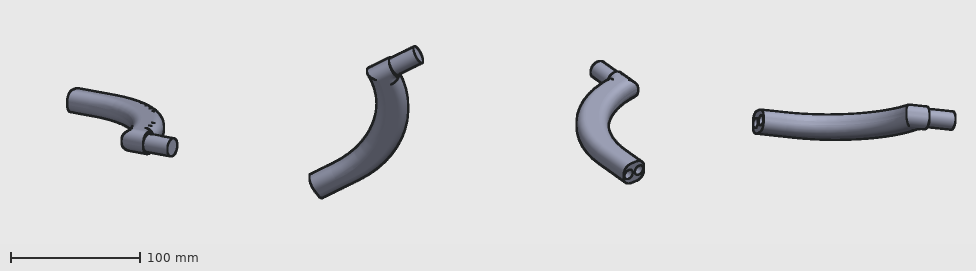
import cadquery as cq
import math

length = 133.8
depth = 84.0
height = 18.0

body_width = 20.1
edge_radius = 7.5
inner_bend_start = 20.0
outer_bend_start = 33.9
inner_corner_x = 91.7
inner_bend_radius = 70.4

foot_end_x = 111.6
foot_width = 15.1
spigot_diameter = 14.5
spigot_overlap = 1.3

outer_run = foot_end_x - outer_bend_start
outer_drop = depth - foot_width
outer_bend_radius = (outer_run**2 + outer_drop**2) / (2 * outer_drop)

bore_diameter = 8.0
bore_spacing = 10.0
bore_depth = inner_bend_start


def arc_midpoint(start, end, radius):
    """Point halfway along the arc from start to end, bulging towards +X and +Y."""
    run = end[0] - start[0]
    drop = start[1] - end[1]
    chord = math.hypot(run, drop)
    bulge = radius - math.sqrt(radius**2 - (chord / 2) ** 2)
    return (
        (start[0] + end[0]) / 2 + bulge * drop / chord,
        (start[1] + end[1]) / 2 + bulge * run / chord,
    )


def make_body():
    """Bent bar with rounded long edges, cut square at the end of the foot."""
    outer_start = (outer_bend_start, depth)
    outer_end = (foot_end_x, foot_width)
    inner_start = (inner_bend_start, depth - body_width)
    inner_end = (inner_corner_x, 0)
    outer_middle = arc_midpoint(outer_start, outer_end, outer_bend_radius)
    inner_middle = arc_midpoint(inner_start, inner_end, inner_bend_radius)
    body = (
        cq.Workplane("XY")
        .workplane(offset=-height / 2)
        .moveTo(0, depth)
        .lineTo(*outer_start)
        .threePointArc(outer_middle, outer_end)
        .lineTo(length, foot_width)
        .lineTo(length, 0)
        .lineTo(*inner_end)
        .threePointArc(inner_middle, inner_start)
        .lineTo(0, depth - body_width)
        .close()
        .extrude(height)
    )
    end_edges = body.faces("<X or >X").edges().vals()
    long_edges = [
        edge
        for edge in body.faces("|Z").edges().vals()
        if not any(edge.isSame(end_edge) for end_edge in end_edges)
    ]
    body = body.newObject(long_edges).fillet(edge_radius)
    keep = cq.Workplane("XY").box(foot_end_x, depth, height, centered=(False, False, True))
    return body.intersect(keep)


def make_corner_blend():
    """Block whose rounded edge sweeps a quarter turn about the bar-to-foot inside corner."""
    corner = (foot_end_x, foot_width, 0)
    top = height / 2
    side_top = top - edge_radius
    arc_middle = (
        -edge_radius * (1 - math.cos(math.pi / 4)),
        side_top + edge_radius * math.sin(math.pi / 4),
    )
    waste = (
        cq.Workplane("XZ", origin=corner)
        .moveTo(0, side_top)
        .threePointArc(arc_middle, (-edge_radius, top))
        .lineTo(0, top)
        .close()
        .revolve(360, (0, 0), (0, 1))
    )
    block = cq.Workplane("XY").box(edge_radius, edge_radius, height).translate(
        (foot_end_x - edge_radius / 2, foot_width - edge_radius / 2, 0)
    )
    return block.cut(waste).cut(waste.mirror("XY"))


def make_spigot():
    """Solid round spigot, starting inside the foot and flush with its -Y side."""
    start_x = foot_end_x - spigot_overlap
    return (
        cq.Workplane("YZ", origin=(start_x, spigot_diameter / 2, 0))
        .circle(spigot_diameter / 2)
        .extrude(length - start_x)
    )


def make_bores():
    """Two blind bores side by side, centred across the body."""
    return (
        cq.Workplane("YZ", origin=(0, depth - body_width / 2, 0))
        .pushPoints([(-bore_spacing / 2, 0), (bore_spacing / 2, 0)])
        .circle(bore_diameter / 2)
        .extrude(bore_depth)
    )


result = make_body().union(make_corner_blend()).union(make_spigot()).cut(make_bores())